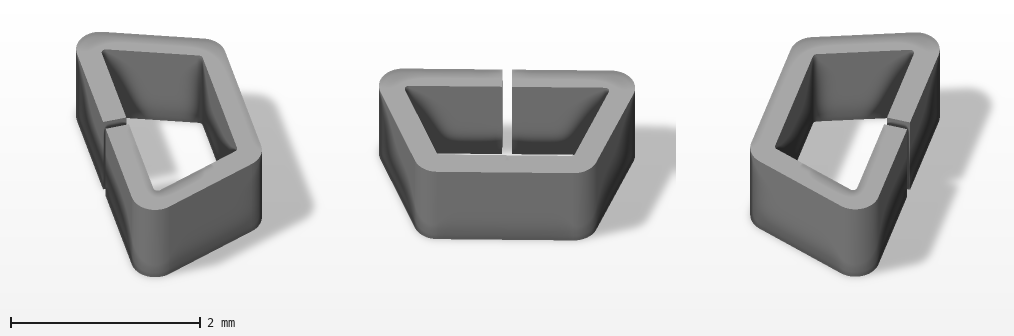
import cadquery as cq

length = 2.71
depth = 1.52
height = 1.02

wall = 0.255
inner_radius = 0.045
top_inner_length = 1.442
gap = 0.103

bottom_half = length / 2 - wall
top_half = top_inner_length / 2
inner_half_depth = depth / 2 - wall
corners = [
    (-bottom_half, -inner_half_depth),
    (bottom_half, -inner_half_depth),
    (top_half, inner_half_depth),
    (-top_half, inner_half_depth),
]


def trapezoid():
    return cq.Workplane("XY").polyline(corners).close()


outer = trapezoid().offset2D(wall, "arc").extrude(height)

opening = trapezoid().extrude(height).edges("|Z").fillet(inner_radius)

split = (
    cq.Workplane("XY")
    .center(0, -inner_half_depth - wall / 2)
    .rect(gap, 2 * wall)
    .extrude(height)
)

result = outer.cut(opening).cut(split)